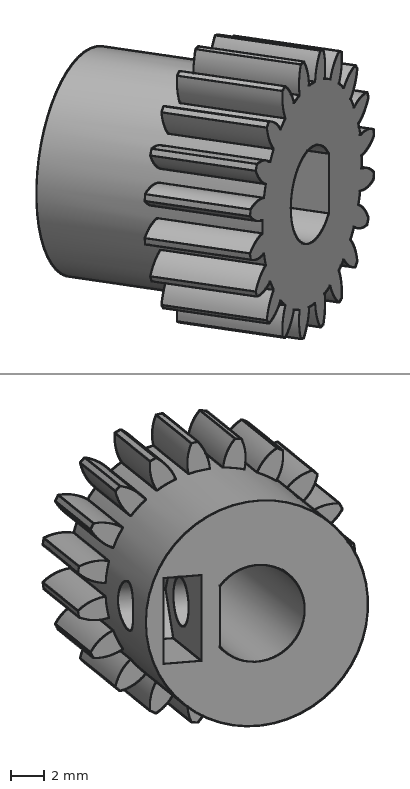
import cadquery as cq
import math

overall_length = 15.0
gear_width = 17.44
hub_length = 8.0
hub_radius = 7.0
face_width = overall_length - hub_length

tooth_count = 20
root_half_thickness = 0.68
pitch_radius = 8.0
pitch_half_thickness = 0.58
tip_half_thickness = 0.21
root_embed = 0.35
half_tooth_spacing = math.pi / tooth_count
tip_corner_reach = (
    gear_width / 2 - tip_half_thickness * math.sin(half_tooth_spacing)
) / math.cos(half_tooth_spacing)
tip_radius = math.hypot(tip_corner_reach, tip_half_thickness)

bore_radius = 3.0
bore_flat_y = 2.34

screw_x = 4.01
screw_diameter = 3.0
nut_sides = 6
nut_across_flats = 5.32
nut_across_corners = nut_across_flats / math.cos(math.pi / nut_sides)
nut_inner_y = 3.5
nut_outer_y = 5.88


def flank_point(radius, half_thickness):
    """Point on the +Z flank of a tooth centred on +Y, at a given radius."""
    return (math.sqrt(radius**2 - half_thickness**2), half_thickness)


def mirrored(point):
    return (point[0], -point[1])


def make_tooth():
    """One tooth centred on +Y."""
    root = flank_point(hub_radius, root_half_thickness)
    middle = flank_point(pitch_radius, pitch_half_thickness)
    tip = flank_point(tip_radius, tip_half_thickness)
    foot = (root[0] - root_embed, root[1])
    return (
        cq.Workplane("YZ", origin=(hub_length, 0, 0))
        .moveTo(*foot)
        .lineTo(*root)
        .threePointArc(middle, tip)
        .threePointArc((tip_radius, 0), mirrored(tip))
        .threePointArc(mirrored(middle), mirrored(root))
        .lineTo(*mirrored(foot))
        .close()
        .extrude(face_width)
    )


def make_gear():
    gear = cq.Workplane("YZ").circle(hub_radius).extrude(overall_length)
    tooth = make_tooth()
    for index in range(tooth_count):
        angle = math.degrees((2 * index + 1) * half_tooth_spacing)
        gear = gear.union(tooth.rotate((0, 0, 0), (1, 0, 0), angle))
    return gear


def make_bore():
    flat_half_height = math.sqrt(bore_radius**2 - bore_flat_y**2)
    return (
        cq.Workplane("YZ")
        .moveTo(bore_flat_y, -flat_half_height)
        .lineTo(bore_flat_y, flat_half_height)
        .threePointArc((-bore_radius, 0), (bore_flat_y, -flat_half_height))
        .close()
        .extrude(overall_length)
    )


def make_nut_trap():
    """Hexagonal nut seat with a corner pointing to +X, and its slot from the hub face."""
    nut_thickness = nut_outer_y - nut_inner_y
    inner_face = cq.Workplane("XZ", origin=(0, nut_inner_y, 0))
    seat = inner_face.center(screw_x, 0).polygon(nut_sides, nut_across_corners).extrude(-nut_thickness)
    slot = inner_face.center(screw_x / 2, 0).rect(screw_x, nut_across_flats).extrude(-nut_thickness)
    return seat.union(slot)


def make_screw_hole():
    """Radial set-screw hole from the bore axis out through the +Y side of the hub."""
    return cq.Workplane("XZ").center(screw_x, 0).circle(screw_diameter / 2).extrude(-hub_radius)


result = make_gear().cut(make_bore()).cut(make_nut_trap()).cut(make_screw_hole())